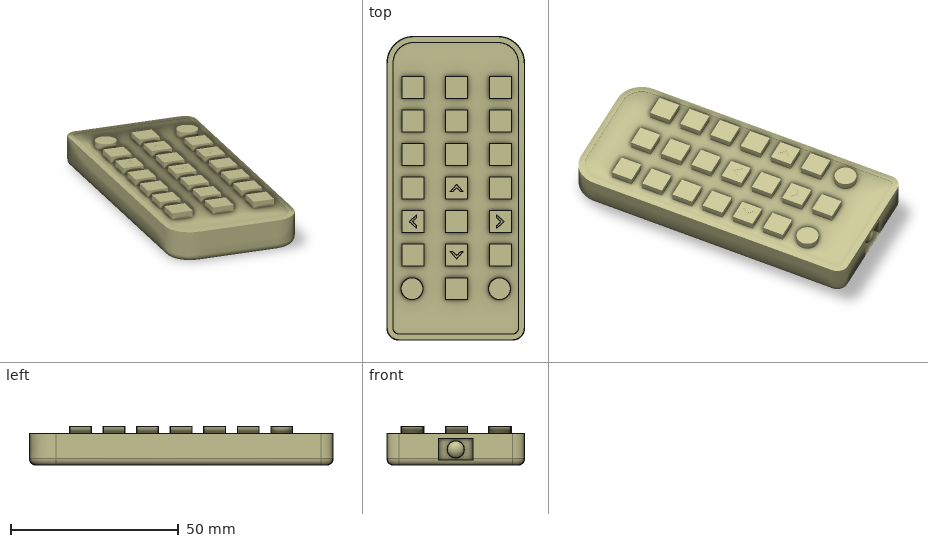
import cadquery as cq
import math

BODY_WIDTH = 41.0
BODY_LENGTH = 90.5
BODY_HEIGHT = 9.5
OVERALL_HEIGHT = 11.6
BACK_CORNER_RADIUS = 8.0
FRONT_CORNER_RADIUS = 3.5
BOTTOM_FILLET = 2.0

RIM_WIDTH = 1.8
RECESS_DEPTH = 0.14

KEY_SIZE = 6.5
COLUMN_PITCH = 13.0
COLUMN_COUNT = 3
SQUARE_KEYS_OFFSET = 0.3
ROW_COUNT = 7
KEYPAD_SPAN = 60.0
ROW_PITCH = KEYPAD_SPAN / (ROW_COUNT - 1)
FRONT_ROW_SETBACK = 15.3
FRONT_ROW_Y = -BODY_LENGTH / 2 + FRONT_ROW_SETBACK

CHEVRON_ROW = 2
CHEVRON_SPAN = 3.9
CHEVRON_RISE = 2.2
CHEVRON_TIP_THICKNESS = 1.0
CHEVRON_END_WIDTH = 0.7
CHEVRON_DEPTH = 0.1

WINDOW_WIDTH = 10.1
WINDOW_HEIGHT = 6.3
WINDOW_DEPTH = 2.5
WINDOW_CENTRE_Z = 4.7
LAMP_RADIUS = 2.5


def rounded_plate(inset, base_z, height):
    """Body outline moved inwards by inset; back corners are rounder than front ones."""
    return (
        cq.Workplane("XY", origin=(0, 0, base_z))
        .rect(BODY_WIDTH - 2 * inset, BODY_LENGTH - 2 * inset)
        .extrude(height)
        .edges("|Z and >Y")
        .fillet(BACK_CORNER_RADIUS - inset)
        .edges("|Z and <Y")
        .fillet(FRONT_CORNER_RADIUS - inset)
    )


def is_round(column, row):
    """The outer two keys of the front row are round, all others are square."""
    return row == 0 and column != 0


def key_centre(column, row):
    """Centre of a key; column 0 is the middle one, row 0 the one nearest the front."""
    offset = 0 if is_round(column, row) else SQUARE_KEYS_OFFSET
    return offset + column * COLUMN_PITCH, FRONT_ROW_Y + row * ROW_PITCH


def key(column, row):
    """One key, standing on the floor of the recess."""
    floor_z = BODY_HEIGHT - RECESS_DEPTH
    base = cq.Workplane("XY", origin=(0, 0, floor_z)).center(*key_centre(column, row))
    if is_round(column, row):
        outline = base.circle(KEY_SIZE / 2)
    else:
        outline = base.rect(KEY_SIZE, KEY_SIZE)
    return outline.extrude(OVERALL_HEIGHT - floor_z)


def chevron(column_step, row_step):
    """Chevron cutter on the key next to the middle one, pointing away from it."""
    half_span = CHEVRON_SPAN / 2
    half_rise = CHEVRON_RISE / 2
    inner_half_span = half_span - CHEVRON_END_WIDTH
    x, y = key_centre(column_step, CHEVRON_ROW + row_step)
    return (
        cq.Workplane("XY")
        .moveTo(half_rise, 0)
        .lineTo(-half_rise, half_span)
        .lineTo(-half_rise, inner_half_span)
        .lineTo(half_rise - CHEVRON_TIP_THICKNESS, 0)
        .lineTo(-half_rise, -inner_half_span)
        .lineTo(-half_rise, -half_span)
        .close()
        .extrude(CHEVRON_DEPTH)
        .rotate((0, 0, 0), (0, 0, 1), math.degrees(math.atan2(row_step, column_step)))
        .translate((x, y, OVERALL_HEIGHT - CHEVRON_DEPTH))
    )


result = rounded_plate(0, 0, BODY_HEIGHT).faces("<Z").edges().fillet(BOTTOM_FILLET)
result = result.cut(rounded_plate(RIM_WIDTH, BODY_HEIGHT - RECESS_DEPTH, RECESS_DEPTH))

window_back_y = -BODY_LENGTH / 2 + WINDOW_DEPTH
window = cq.Workplane("XY").box(WINDOW_WIDTH, 2 * WINDOW_DEPTH, WINDOW_HEIGHT)
result = result.cut(window.translate((0, -BODY_LENGTH / 2, WINDOW_CENTRE_Z)))
lamp = cq.Workplane("XY").sphere(LAMP_RADIUS)
result = result.union(lamp.translate((0, window_back_y, WINDOW_CENTRE_Z)))

for row in range(ROW_COUNT):
    for column_index in range(COLUMN_COUNT):
        result = result.union(key(column_index - COLUMN_COUNT // 2, row))

for column_step, row_step in ((1, 0), (-1, 0), (0, 1), (0, -1)):
    result = result.cut(chevron(column_step, row_step))